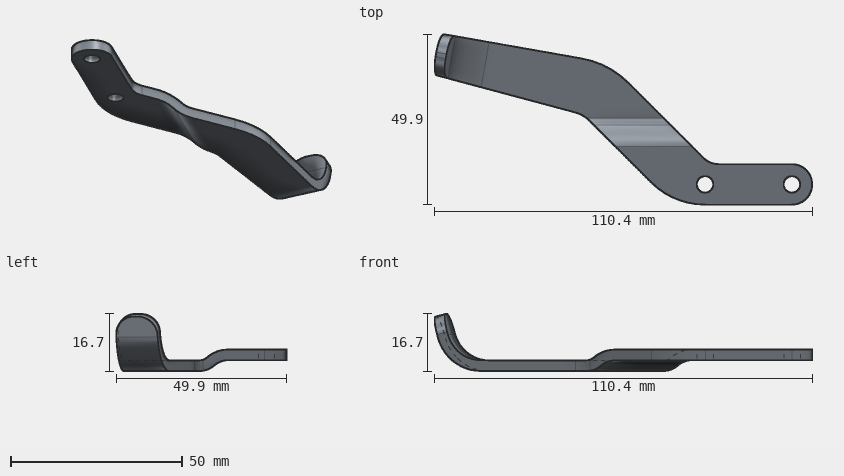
import math

import cadquery as cq

thickness = 3.175
joggle_rise = 3.175

hole_diameter = 4.76
hole_spacing = 25.4
mount_half_width = 5.953

limb_width = 15.875
limb_normal = 45.0
diagonal = math.sqrt(2)
mount_outer_radius = 22.225
mount_inner_radius = 6.35

elbow_inner_radius = 9.525
elbow_outer_radius = elbow_inner_radius + limb_width
elbow_center_x = -40.45
arm_upper_angle = 10.0
arm_lower_angle = 15.0

joggle_start_y = 19.5
joggle_lower_radius = 3.175
joggle_upper_radius = 9.525

hook_start = 27.6
hook_outer_radius = 13.5
hook_inner_radius = hook_outer_radius - thickness
hook_angle = 75.0
hook_flat_length = 6.13
tip_radius = 5.5

mount_arc_center = (0, mount_outer_radius - mount_half_width)
limb_low_sum = mount_arc_center[1] - mount_outer_radius * diagonal
limb_high_sum = limb_low_sum + limb_width * diagonal
elbow_center_y = limb_low_sum - elbow_inner_radius * diagonal - elbow_center_x
elbow_center = (elbow_center_x, elbow_center_y)

bottom_z = -joggle_rise
margin = 20.0


def on_circle(center, radius, degrees):
    """Point at an angle on a circle."""
    angle = math.radians(degrees)
    return (center[0] + radius * math.cos(angle), center[1] + radius * math.sin(angle))


def on_arm(along, across):
    """Plan point from arm coordinates: along the upper edge, across toward it."""
    angle = math.radians(arm_upper_angle)
    x = elbow_center[0] - along * math.cos(angle) + across * math.sin(angle)
    y = elbow_center[1] + along * math.sin(angle) + across * math.cos(angle)
    return (x, y)


def arm_lower_across(along):
    """Across position of the lower arm edge at a distance along the arm."""
    taper = math.radians(arm_lower_angle - arm_upper_angle)
    return elbow_inner_radius / math.cos(taper) + along * math.tan(taper)


def joggled_sheet():
    """Wide sheet holding the flat arm level, the joggle and the mounting level."""
    bend = math.acos(1 - joggle_rise / (joggle_lower_radius + joggle_upper_radius))
    middle_y = joggle_start_y - joggle_lower_radius * math.sin(bend)
    end_y = middle_y - joggle_upper_radius * math.sin(bend)
    arm_top_z = bottom_z + thickness
    mount_top_z = arm_top_z + joggle_rise

    lower_center = (joggle_start_y, arm_top_z + joggle_lower_radius)
    upper_center = (end_y, mount_top_z - joggle_upper_radius)
    turn = math.degrees(bend)
    lower_far = joggle_lower_radius + thickness
    upper_near = joggle_upper_radius - thickness
    far_y = elbow_center[1] + elbow_outer_radius + margin
    near_y = -mount_half_width - margin
    length = 2 * (hook_start + hole_spacing + elbow_outer_radius)
    return (
        cq.Workplane("YZ")
        .moveTo(far_y, arm_top_z)
        .lineTo(joggle_start_y, arm_top_z)
        .threePointArc(
            on_circle(lower_center, joggle_lower_radius, -90 - turn / 2),
            on_circle(lower_center, joggle_lower_radius, -90 - turn),
        )
        .threePointArc(
            on_circle(upper_center, joggle_upper_radius, 90 - turn / 2),
            (end_y, mount_top_z),
        )
        .lineTo(near_y, mount_top_z)
        .lineTo(near_y, mount_top_z - thickness)
        .lineTo(end_y, mount_top_z - thickness)
        .threePointArc(
            on_circle(upper_center, upper_near, 90 - turn / 2),
            on_circle(upper_center, upper_near, 90 - turn),
        )
        .threePointArc(
            on_circle(lower_center, lower_far, -90 - turn / 2),
            (joggle_start_y, bottom_z),
        )
        .lineTo(far_y, bottom_z)
        .close()
        .extrude(length / 2, both=True)
    )


def plan_prism(outline):
    """Tall vertical prism over a closed plan outline."""
    return outline.extrude(margin, both=True)


def lever_outline():
    """Plan outline from the hook bend line to the rounded mounting end."""
    upper_normal = 90 - arm_upper_angle
    lower_normal = 90 - arm_lower_angle
    inner_center_y = mount_half_width + mount_inner_radius
    inner_center_x = limb_high_sum + mount_inner_radius * diagonal - inner_center_y
    inner_center = (inner_center_x, inner_center_y)
    return (
        cq.Workplane("XY")
        .moveTo(*on_arm(hook_start, elbow_outer_radius))
        .lineTo(*on_circle(elbow_center, elbow_outer_radius, upper_normal))
        .threePointArc(
            on_circle(elbow_center, elbow_outer_radius, (upper_normal + limb_normal) / 2),
            on_circle(elbow_center, elbow_outer_radius, limb_normal),
        )
        .lineTo(*on_circle(inner_center, mount_inner_radius, 180 + limb_normal))
        .threePointArc(
            on_circle(inner_center, mount_inner_radius, 180 + (limb_normal + 90) / 2),
            on_circle(inner_center, mount_inner_radius, 270),
        )
        .lineTo(hole_spacing, mount_half_width)
        .threePointArc(
            (hole_spacing + mount_half_width, 0),
            (hole_spacing, -mount_half_width),
        )
        .lineTo(0, -mount_half_width)
        .threePointArc(
            on_circle(mount_arc_center, mount_outer_radius, 180 + (limb_normal + 90) / 2),
            on_circle(mount_arc_center, mount_outer_radius, 180 + limb_normal),
        )
        .lineTo(*on_circle(elbow_center, elbow_inner_radius, limb_normal))
        .threePointArc(
            on_circle(elbow_center, elbow_inner_radius, (lower_normal + limb_normal) / 2),
            on_circle(elbow_center, elbow_inner_radius, lower_normal),
        )
        .lineTo(*on_arm(hook_start, arm_lower_across(hook_start)))
        .close()
    )


def make_lever():
    """Arm, joggle and mounting end with its holes."""
    lever = plan_prism(lever_outline()).intersect(joggled_sheet())
    holes = (
        cq.Workplane("XY")
        .pushPoints([(0, 0), (hole_spacing, 0)])
        .circle(hole_diameter / 2)
        .extrude(margin, both=True)
    )
    return lever.cut(holes)


def hook_sheet(arm_plane):
    """Wide curled sheet: the hook bend followed by a short flat."""
    center = (hook_start, bottom_z + hook_outer_radius)
    end = hook_angle - 90
    bend = math.radians(hook_angle)
    run = hook_flat_length * math.cos(bend)
    rise = hook_flat_length * math.sin(bend)
    outer_end = on_circle(center, hook_outer_radius, end)
    inner_end = on_circle(center, hook_inner_radius, end)
    middle = end - hook_angle / 2
    return (
        cq.Workplane(arm_plane)
        .moveTo(hook_start, bottom_z)
        .threePointArc(on_circle(center, hook_outer_radius, middle), outer_end)
        .lineTo(outer_end[0] + run, outer_end[1] + rise)
        .lineTo(inner_end[0] + run, inner_end[1] + rise)
        .lineTo(*inner_end)
        .threePointArc(
            on_circle(center, hook_inner_radius, middle),
            (hook_start, bottom_z + thickness),
        )
        .close()
        .extrude(2 * elbow_outer_radius, both=True)
    )


def round_tip_corner(hook, across, upper_side):
    """Round one short edge of the tip face, which is the highest face of the hook."""
    corner = hook.faces(">Z").edges(cq.DirectionMinMaxSelector(across, upper_side))
    return corner.fillet(tip_radius)


def make_hook():
    """Curled end of the arm with two rounded tip corners."""
    along = cq.Vector(*on_arm(1, 0)) - cq.Vector(*elbow_center)
    across = cq.Vector(*on_arm(0, 1)) - cq.Vector(*elbow_center)
    bend_axis = along.cross(cq.Vector(0, 0, 1))
    arm_plane = cq.Plane(origin=(*elbow_center, 0), xDir=along, normal=bend_axis)
    far = hook_start + 2 * hook_outer_radius
    corners = [
        on_arm(hook_start, elbow_outer_radius),
        on_arm(far, elbow_outer_radius),
        on_arm(far, arm_lower_across(far)),
        on_arm(hook_start, arm_lower_across(hook_start)),
    ]
    outline = cq.Workplane("XY").polyline(corners).close()
    hook = plan_prism(outline).intersect(hook_sheet(arm_plane))

    hook = round_tip_corner(hook, across, True)
    return round_tip_corner(hook, across, False)


result = make_lever().union(make_hook())